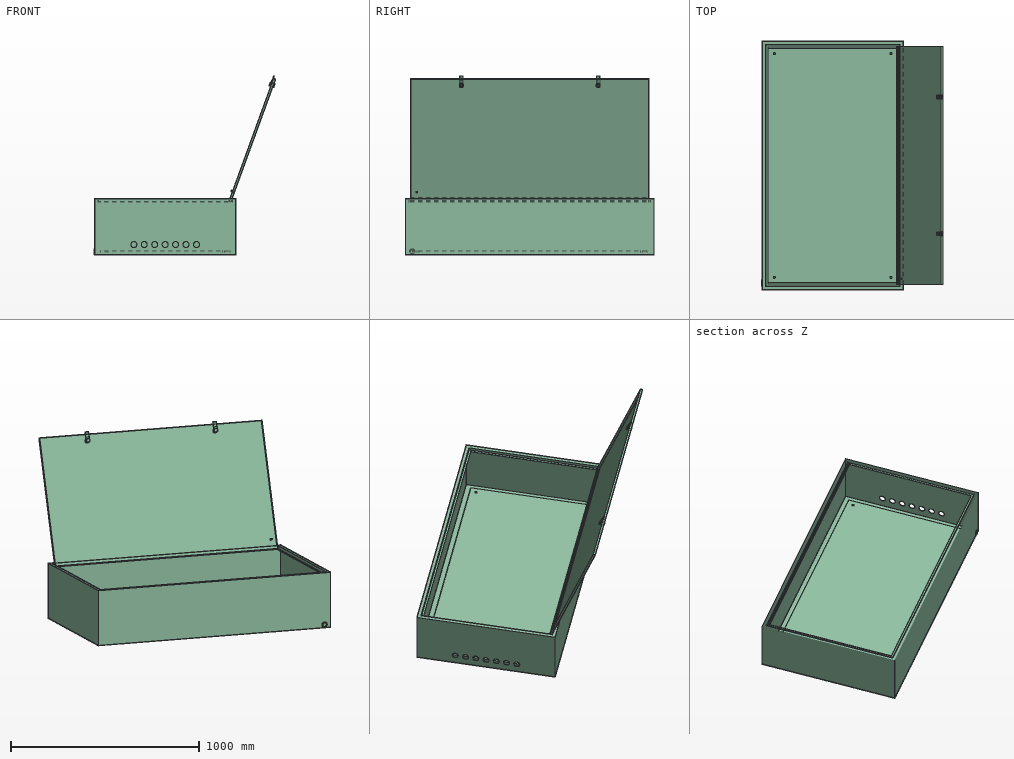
import cadquery as cq
import math


housing_width = 750.0
housing_length = 1320.0
housing_height = 300.0
wall = 1.5
rim_width = 20.0
rebate_depth = 16.0
ledge_width = 10.0
ledge_z = housing_height - rebate_depth

cable_hole_count = 7
cable_hole_diameter = 32.0
cable_hole_pitch = 55.0
cable_hole_z = 55.0

plate_width = 686.0
plate_length = 1243.0
plate_top_z = 20.0
plate_hole_diameter = 10.0
plate_hole_spacing_x = 619.0
plate_hole_spacing_y = 1188.0

door_tilt = 20.0
door_length = 1265.0
door_thickness = 12.0
door_height = 692.0
hinge_strip_height = 17.0
pan_depth = door_thickness - wall
door_foot_x = 339.0
door_foot_z = ledge_z + door_thickness * math.sin(math.radians(door_tilt))

latch_spacing = 726.0
latch_width = 20.0
latch_axis_drop = 35.0
latch_overhang = 12.0
tongue_thickness = 4.0
cam_step_drop = 16.0
cam_thickness = 7.0
boss_height = 9.0
knob_diameter = 22.0
knob_height = 5.0
shank_diameter = 12.0

door_stud_diameter = 8.0
door_stud_length = 18.0
door_stud_y = -600.0
door_stud_height = 53.0

bolt_washer_diameter = 30.0
bolt_washer_thickness = 2.0
bolt_head_across_corners = 21.0
bolt_head_height = 2.0
bolt_y = -625.0
bolt_z = 17.0

tilt = math.radians(door_tilt)
door_plane = cq.Plane(
    origin=(door_foot_x, 0, door_foot_z),
    xDir=(0, 1, 0),
    normal=(math.cos(tilt), 0, -math.sin(tilt)),
)
latch_axis_height = door_height - latch_axis_drop
latch_places = [(side * latch_spacing / 2, latch_axis_height) for side in (-1, 1)]


def block(width, length, bottom, top):
    """Upright block centred on the Z axis."""
    return cq.Workplane().box(width, length, top - bottom, centered=(True, True, False)).translate((0, 0, bottom))


def inset_block(inset, bottom, top):
    """Block drawn in from all four sides of the housing."""
    return block(housing_width - 2 * inset, housing_length - 2 * inset, bottom, top)


def make_housing():
    """Sheet-metal box whose top edge folds inward as a rim, then steps down to a ledge."""
    shell = block(housing_width, housing_length, 0, housing_height)
    cavity = inset_block(wall, wall, housing_height - wall)
    rim_step = inset_block(rim_width - wall, ledge_z - wall, housing_height)
    rebate = inset_block(rim_width, ledge_z, housing_height)
    opening = inset_block(rim_width + ledge_width, wall, housing_height)
    cable_holes = (
        cq.Workplane("XZ", origin=(0, -housing_length / 2 + wall, cable_hole_z))
        .rarray(cable_hole_pitch, 13, cable_hole_count, 1)
        .circle(cable_hole_diameter / 2)
        .extrude(wall)
    )
    return shell.cut(cavity).union(rim_step).cut(rebate).cut(opening).cut(cable_holes)


def make_mounting_plate():
    return (
        block(plate_width, plate_length, wall, plate_top_z)
        .faces(">Z")
        .workplane()
        .rarray(plate_hole_spacing_x, plate_hole_spacing_y, 2, 2)
        .hole(plate_hole_diameter)
    )


def door_block(length, bottom, top, depth):
    """Block in the tilted door frame, centred along Y, reaching outward from the door's open side."""
    return (
        cq.Workplane(door_plane)
        .center(0, (bottom + top) / 2)
        .rect(length, top - bottom)
        .extrude(depth)
    )


def make_hinge_strip():
    return door_block(door_length - 2 * wall, 0, hinge_strip_height, wall)


def make_door():
    inner_length = door_length - 2 * wall
    pan = door_block(door_length, 0, door_height, door_thickness)
    pan_hollow = door_block(inner_length, wall, door_height - wall, pan_depth)
    shank_holes = (
        cq.Workplane(door_plane).pushPoints(latch_places).circle(shank_diameter / 2).extrude(door_thickness)
    )
    return pan.cut(pan_hollow).cut(shank_holes).cut(make_hinge_strip())


def make_latch(y, axis_height):
    """Knob outside, shank through the door, and a stepped cam inside that reaches past the door's edge."""
    def bar(bottom, top, thickness):
        return (
            cq.Workplane(door_plane)
            .center(y, (bottom + top) / 2)
            .rect(latch_width, top - bottom)
            .extrude(-thickness)
        )

    def disc(diameter, start, height):
        return (
            cq.Workplane(door_plane)
            .workplane(offset=start)
            .center(y, axis_height)
            .circle(diameter / 2)
            .extrude(height)
        )

    tongue = bar(axis_height, door_height + latch_overhang, tongue_thickness)
    cam = bar(axis_height, door_height - cam_step_drop, cam_thickness)
    boss = disc(latch_width, pan_depth, -pan_depth - boss_height)
    shank = disc(shank_diameter, pan_depth, wall)
    knob = disc(knob_diameter, door_thickness, knob_height)
    return tongue.union(cam).union(boss).union(shank).union(knob)


def make_door_stud():
    return (
        cq.Workplane(door_plane)
        .workplane(offset=pan_depth)
        .center(door_stud_y, door_stud_height)
        .circle(door_stud_diameter / 2)
        .extrude(-door_stud_length)
    )


def make_earth_bolt():
    wall_face = cq.Plane(origin=(-housing_width / 2, bolt_y, bolt_z), xDir=(0, -1, 0), normal=(-1, 0, 0))
    washer = cq.Workplane(wall_face).circle(bolt_washer_diameter / 2).extrude(bolt_washer_thickness)
    return washer.faces("<X").workplane().polygon(6, bolt_head_across_corners).extrude(bolt_head_height)


housing = make_housing()
mounting_plate = make_mounting_plate()
door = make_door()
hinge_strip = make_hinge_strip()
latches = [make_latch(y, height) for y, height in latch_places]
door_stud = make_door_stud()
earth_bolt = make_earth_bolt()

result = cq.Compound.makeCompound(
    [
        housing.val(),
        mounting_plate.val(),
        door.val(),
        hinge_strip.val(),
        *[latch.val() for latch in latches],
        door_stud.val(),
        earth_bolt.val(),
    ]
)